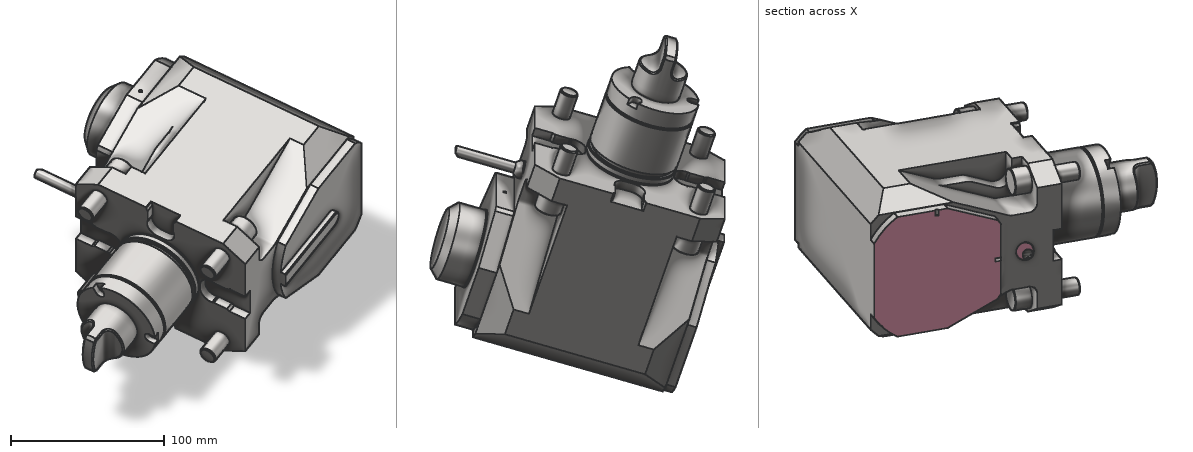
import cadquery as cq
import math


half_width = 65.0
half_height = 54.0
housing_back = 134.0
corner_bevel_width = 17.0
corner_bevel_height = 10.0
back_bevel = 15.6

flange_thickness = 17.3
pocket_slope = math.tan(math.radians(23.0))
pocket_top_y = 99.6
pocket_floor_z = 27.0
pocket_inner_x = 37.5
pocket_slope_radius = 7.0
pocket_wall_radius = 6.0

step_inner_x = 27.0
step_floor_z = 42.7
step_floor_end_y = 54.2
step_wall_y = 24.4
step_radius = 12.0
step_wall_radius = 8.0

keyway_depth = 6.0
keyway_end = 30.5
keyway_corner_radius = 8.0
keyway_round_half_width = 10.4
keyway_narrow_half_width = 9.9
keyway_narrow_start = 41.0
keyway_narrow_end = 51.0
keyway_mouth_start = 53.0
keyway_mouth_half_width = 11.2
keyway_relief_end = 39.5

motor_y = 90.0
plate_half_height = 43.7
motor_plate_thickness = 12.3
motor_plate_front_y = 45.0
motor_plate_slope_y = 82.5
motor_plate_radius = 51.7
end_plate_thickness = 6.3
end_plate_slope_y = 80.5
end_plate_radius = 56.6
motor_diameter = 52.3
motor_length = 24.3
motor_chamfer = 5.5
motor_base_diameter = 53.0
motor_base_length = 1.0
screw_hole_diameter = 2.1
screw_hole_depth = 4.0
screw_hole_inset = 6.3

end_key_back_y = 99.9
end_key_width = 12.0
end_key_height = 4.0
end_key_chamfer = 0.6

bolt_x = 47.0
bolt_z = 42.0
bolt_diameter = 12.0
bolt_reach = 17.8
bolt_chamfer = 0.8
bolt_head_diameter = 18.0
bolt_head_height = 11.8
bolt_head_chamfer = 0.5

nose_radius = 59.9 / 2
collar_radius = 60.5 / 2
nose_neck_radius = 59.0 / 2
seal_groove_radius = 55.2 / 2
nut_groove_radius = 58.5 / 2
nut_radius = 59.7 / 2
collar_neck_end = 0.8
collar_start = 1.6
collar_end = 5.0
seal_groove_start = 5.5
seal_groove_end = 8.8
nut_groove_start = 42.0
nut_start = 43.3
nut_face = 54.9
wrench_slot_width = 7.0
wrench_slot_depth = 4.2
wrench_slot_center = 25.4
wrench_slot_count = 3

tang_radius = 33.0 / 2
tang_root_radius = 32.4 / 2
tang_root_end = 56.2
tang_shoulder = 72.6
tang_tip = 90.8
tang_corner_start = 85.5
tang_corner_end = 88.0
tang_tip_half_height = 14.6
tang_half_thickness = 4.2
tang_fillet = 6.0
tang_rim_chamfer = 0.9

nozzle_y = 26.3
nozzle_diameter = 7.0
nozzle_end_x = -111.2
ball_diameter = 12.0
ball_center_x = -65.9
nozzle_bore_diameter = 4.0
nozzle_bore_depth = 3.0


def prism_x(points, x_start, x_end):
    """Extrude a closed (Y, Z) outline from x_start to x_end."""
    profile = cq.Workplane("YZ", origin=(x_start, 0, 0)).polyline(points).close()
    return profile.extrude(x_end - x_start)


def cylinder_x(diameter, x_start, x_end, y, z=0.0):
    """Round bar along X."""
    bar = cq.Workplane("YZ", origin=(x_start, y, z)).circle(diameter / 2)
    return bar.extrude(x_end - x_start)


def cylinder_y(diameter, y_start, y_end, x, z):
    """Round bar along Y."""
    bar = cq.Workplane("XZ", origin=(x, y_end, z)).circle(diameter / 2)
    return bar.extrude(y_end - y_start)


def round_edge(prism, y, z, radius):
    """Fillet the edge along X that passes through (y, z)."""
    x_middle = prism.val().Center().x
    edges = prism.edges("|X").edges(cq.NearestToPointSelector((x_middle, y, z)))
    return edges.fillet(radius)


def make_housing():
    section_x = half_width - corner_bevel_width
    section_z = half_height - corner_bevel_height
    section = [
        (-section_x, half_height), (section_x, half_height),
        (half_width, section_z), (half_width, -section_z),
        (section_x, -half_height), (-section_x, -half_height),
        (-half_width, -section_z), (-half_width, section_z),
    ]
    block = cq.Workplane("XZ", origin=(0, housing_back, 0)).polyline(section).close()
    block = block.extrude(housing_back)
    side_outline = [
        (0, -half_height), (housing_back - back_bevel, -half_height),
        (housing_back, back_bevel - half_height), (housing_back, half_height - back_bevel),
        (housing_back - back_bevel, half_height), (0, half_height),
    ]
    return block.intersect(prism_x(side_outline, -half_width, half_width))


def make_pocket(x_start, x_end):
    """Upper bolt pocket: a long slope, a flat floor and the wall behind the flange."""
    floor_y = pocket_top_y - (half_height - pocket_floor_z) / pocket_slope
    outline = [
        (flange_thickness, half_height), (flange_thickness, pocket_floor_z),
        (floor_y, pocket_floor_z), (pocket_top_y, half_height),
    ]
    pocket = prism_x(outline, x_start, x_end)
    pocket = round_edge(pocket, floor_y, pocket_floor_z, pocket_slope_radius)
    return round_edge(pocket, flange_thickness, pocket_floor_z, pocket_wall_radius)


def make_stepped_pocket():
    """Extension of the upper pocket: slope, landing, second slope and a rounded end."""
    floor_start_y = pocket_top_y - (half_height - step_floor_z) / pocket_slope
    end_z = step_floor_z - (step_floor_end_y - step_wall_y) * pocket_slope
    outline = [
        (step_wall_y, half_height), (step_wall_y, end_z),
        (step_floor_end_y, step_floor_z), (floor_start_y, step_floor_z),
        (pocket_top_y, half_height),
    ]
    pocket = prism_x(outline, -pocket_inner_x, -step_inner_x)
    pocket = round_edge(pocket, floor_start_y, step_floor_z, step_radius)
    pocket = round_edge(pocket, step_floor_end_y, step_floor_z, step_radius)
    return round_edge(pocket, step_wall_y, end_z, step_wall_radius)


def make_keyway(angle):
    """Keyway with a rounded inner end, turned about the spindle axis."""
    mouth = half_width
    arc_center_r = keyway_end + keyway_corner_radius
    end_half_width = keyway_round_half_width - keyway_corner_radius
    diagonal = keyway_corner_radius * math.sqrt(0.5)
    arc_middle = (arc_center_r - diagonal, end_half_width + diagonal)
    keyway = (
        cq.Workplane("XZ", origin=(0, keyway_depth, 0))
        .moveTo(mouth, -keyway_mouth_half_width)
        .lineTo(mouth, keyway_mouth_half_width)
        .lineTo(keyway_mouth_start, keyway_mouth_half_width)
        .lineTo(keyway_narrow_end, keyway_narrow_half_width)
        .lineTo(keyway_narrow_start, keyway_narrow_half_width)
        .lineTo(keyway_relief_end, keyway_round_half_width)
        .lineTo(arc_center_r, keyway_round_half_width)
        .threePointArc(arc_middle, (keyway_end, end_half_width))
        .lineTo(keyway_end, -end_half_width)
        .threePointArc((arc_middle[0], -arc_middle[1]), (arc_center_r, -keyway_round_half_width))
        .lineTo(keyway_relief_end, -keyway_round_half_width)
        .lineTo(keyway_narrow_start, -keyway_narrow_half_width)
        .lineTo(keyway_narrow_end, -keyway_narrow_half_width)
        .lineTo(keyway_mouth_start, -keyway_mouth_half_width)
        .close()
        .extrude(keyway_depth)
    )
    return keyway.rotate((0, 0, 0), (0, 1, 0), angle)


def make_plate(x_start, x_end, front_y, slope_y, corner_radius):
    """Side cover with sloped front flanks and corners turned about the motor axis."""
    front_z = plate_half_height - (slope_y - front_y) * pocket_slope
    outline = [
        (front_y, -front_z), (slope_y, -plate_half_height),
        (housing_back, -plate_half_height), (housing_back, plate_half_height),
        (slope_y, plate_half_height), (front_y, front_z),
    ]
    plate = prism_x(outline, x_start, x_end)
    return plate.intersect(cylinder_x(2 * corner_radius, x_start, x_end, motor_y))


def make_motor_side():
    """Motor cover plate with its screw holes and the motor."""
    plate_face = -half_width - motor_plate_thickness
    plate = make_plate(
        plate_face, -half_width, motor_plate_front_y, motor_plate_slope_y, motor_plate_radius
    )
    hole_x = -half_width - screw_hole_inset
    top_hole = (
        cq.Workplane("XY", origin=(hole_x, motor_y, plate_half_height - screw_hole_depth))
        .circle(screw_hole_diameter / 2)
        .extrude(screw_hole_depth)
    )
    front_hole = cylinder_y(
        screw_hole_diameter, motor_plate_front_y, motor_plate_front_y + screw_hole_depth, hole_x, 0
    )
    motor = cylinder_x(motor_diameter, plate_face - motor_length, plate_face, motor_y)
    motor = motor.faces("<X").chamfer(motor_chamfer)
    base = cylinder_x(motor_base_diameter, plate_face - motor_base_length, plate_face, motor_y)
    return plate.cut(top_hole).cut(front_hole).union(motor).union(base)


def make_end_side():
    """End cover plate with its raised key, both cut off at the front by the same round."""
    plate_face = half_width + end_plate_thickness
    plate = make_plate(
        half_width, plate_face, motor_y - end_plate_radius, end_plate_slope_y, end_plate_radius
    )
    key_face = plate_face + end_key_height
    rounding_y = end_key_back_y - end_key_width / 2
    key = (
        cq.Workplane("YZ", origin=(half_width, 0, 0))
        .moveTo(0, -end_key_width / 2)
        .lineTo(rounding_y, -end_key_width / 2)
        .threePointArc((end_key_back_y, 0), (rounding_y, end_key_width / 2))
        .lineTo(0, end_key_width / 2)
        .close()
        .extrude(key_face - half_width)
        .faces(">X")
        .chamfer(end_key_chamfer)
    )
    key = key.intersect(cylinder_x(2 * end_plate_radius, half_width, key_face, motor_y))
    return plate.union(key)


def make_bolt(x, z):
    shank = cylinder_y(bolt_diameter, -bolt_reach, flange_thickness, x, z)
    shank = shank.faces("<Y").chamfer(bolt_chamfer)
    head_back = flange_thickness + bolt_head_height
    head = cylinder_y(bolt_head_diameter, flange_thickness, head_back, x, z)
    head = head.faces(">Y").chamfer(bolt_head_chamfer)
    return shank.union(head)


def revolve_y(points):
    """Turn a closed (radius, Y) outline about the spindle axis."""
    return cq.Workplane("XY").polyline(points).close().revolve(360, (0, 0, 0), (0, 1, 0))


def make_nose():
    """Spindle nose with collar, seal groove and clamping nut."""
    nose = revolve_y([
        (0, keyway_depth),
        (nose_neck_radius, keyway_depth),
        (nose_neck_radius, -collar_neck_end),
        (collar_radius, -collar_start),
        (collar_radius, -collar_end),
        (nose_neck_radius, -seal_groove_start),
        (seal_groove_radius, -seal_groove_start),
        (seal_groove_radius, -seal_groove_end),
        (nose_radius, -seal_groove_end),
        (nose_radius, -nut_groove_start),
        (nut_groove_radius, -nut_groove_start),
        (nut_groove_radius, -nut_start),
        (nut_radius, -nut_start),
        (nut_radius, -nut_face),
        (0, -nut_face),
    ])
    slot_length = 2 * (nose_radius - wrench_slot_center) + wrench_slot_width
    for index in range(wrench_slot_count):
        slot = (
            cq.Workplane("XZ", origin=(0, wrench_slot_depth - nut_face, 0))
            .center(wrench_slot_center + (slot_length - wrench_slot_width) / 2, 0)
            .slot2D(slot_length, wrench_slot_width)
            .extrude(wrench_slot_depth)
        )
        nose = nose.cut(slot.rotate((0, 0, 0), (0, 1, 0), index * 360 / wrench_slot_count))
    return nose


def make_tang_relief():
    """Cutter for the +X flank of the tang, with a rounded inner corner."""
    clear_x = 2 * tang_radius
    fillet_x = tang_half_thickness + tang_fillet
    arc_offset = tang_fillet * (1 - math.sqrt(0.5))
    return (
        cq.Workplane("XY", origin=(0, 0, -tang_radius))
        .moveTo(clear_x, -tang_shoulder)
        .lineTo(fillet_x, -tang_shoulder)
        .threePointArc(
            (tang_half_thickness + arc_offset, -tang_shoulder - arc_offset),
            (tang_half_thickness, -tang_shoulder - tang_fillet),
        )
        .lineTo(tang_half_thickness, -tang_tip)
        .lineTo(clear_x, -tang_tip)
        .close()
        .extrude(2 * tang_radius)
    )


def make_tang():
    """Drive tang: a round shank milled to a flat blade with an arched tip and beveled rims."""
    shank = revolve_y([
        (0, -nut_face),
        (tang_root_radius, -nut_face),
        (tang_radius, -tang_root_end),
        (tang_radius, -tang_tip),
        (0, -tang_tip),
    ])
    side_outline = (
        cq.Workplane("YZ", origin=(-tang_radius, 0, 0))
        .moveTo(-nut_face, -tang_radius)
        .lineTo(-tang_corner_start, -tang_radius)
        .lineTo(-tang_corner_end, -tang_tip_half_height)
        .threePointArc((-tang_tip, 0), (-tang_corner_end, tang_tip_half_height))
        .lineTo(-tang_corner_start, tang_radius)
        .lineTo(-nut_face, tang_radius)
        .close()
        .extrude(2 * tang_radius)
    )
    relief = make_tang_relief()
    tang = shank.intersect(side_outline).cut(relief).cut(relief.mirror("YZ"))
    beyond = 2 * tang_tip
    for side in (-1, 1):
        inner_x = side * (tang_half_thickness - tang_rim_chamfer)
        flank_region = cq.selectors.BoxSelector(
            (inner_x, tang_rim_chamfer - tang_shoulder, -beyond),
            (side * beyond, -beyond, beyond),
        )
        tang = tang.edges(flank_region).edges("not |Z").chamfer(tang_rim_chamfer)
    return tang


def make_nozzle():
    """Ball-seated coolant nozzle, its tip half cut at 45 degrees and bored square to the cut."""
    ball = cq.Workplane("XY", origin=(ball_center_x, nozzle_y, 0)).sphere(ball_diameter / 2)
    tube = cylinder_x(nozzle_diameter, nozzle_end_x, ball_center_x, nozzle_y)
    radius = nozzle_diameter / 2
    tip_cut = (
        cq.Workplane("XY", origin=(nozzle_end_x, nozzle_y, -radius))
        .polyline([(0, 0), (radius, radius), (0, radius)])
        .close()
        .extrude(nozzle_diameter)
    )
    bore_plane = cq.Plane(
        origin=(nozzle_end_x + radius / 2, nozzle_y + radius / 2, 0),
        xDir=(0, 0, 1),
        normal=(1, -1, 0),
    )
    bore = cq.Workplane(bore_plane).circle(nozzle_bore_diameter / 2).extrude(nozzle_bore_depth)
    return tube.cut(tip_cut).cut(bore).union(ball)


result = make_housing()
for pocket_side in (-1, 1):
    pocket_range = sorted((pocket_side * pocket_inner_x, pocket_side * half_width))
    bolt_pocket = make_pocket(*pocket_range)
    result = result.cut(bolt_pocket).cut(bolt_pocket.mirror("XY"))
result = result.cut(make_stepped_pocket())
for keyway_angle in (0, 90, 180, 270):
    result = result.cut(make_keyway(keyway_angle))
result = result.union(make_motor_side()).union(make_end_side())
for bolt_side in (-1, 1):
    for bolt_level in (-1, 1):
        result = result.union(make_bolt(bolt_side * bolt_x, bolt_level * bolt_z))
result = result.union(make_nose()).union(make_tang()).union(make_nozzle())